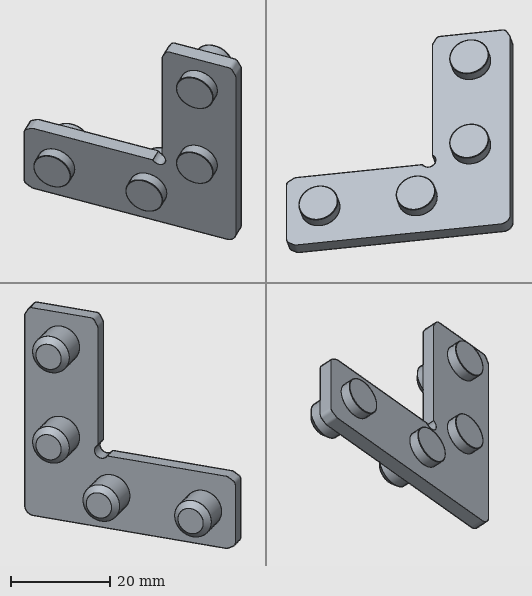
import cadquery as cq
import math

arm_length = 46.0
arm_width = 16.0
plate_thickness = 3.0
outer_corner_radius = 2.0

bevel_end_leg = 1.0
bevel_angle = math.radians(30)
bevel_side_leg = bevel_end_leg / math.tan(bevel_angle)
bevel_edge_radius = 1.0

relief_radius = 1.45
relief_offset = 0.75

pin_diameter = 8.0
pin_end_distance = 7.0
pin_spacing = 20.0
pin_front_height = 2.35
pin_back_height = 6.65
pin_front_chamfer = 0.1
pin_back_chamfer = 1.25

inner_x = arm_length - arm_width


def point_selector(x, z):
    """Select the plate edge along Y at the given outline point."""
    return cq.selectors.NearestToPointSelector((x, plate_thickness / 2, z))


def make_plate():
    lower_end = [
        (bevel_side_leg, arm_width),
        (0, arm_width - bevel_end_leg),
        (0, bevel_end_leg),
        (bevel_side_leg, 0),
    ]
    upper_end = [
        (arm_length, arm_length - bevel_side_leg),
        (arm_length - bevel_end_leg, arm_length),
        (inner_x + bevel_end_leg, arm_length),
        (inner_x, arm_length - bevel_side_leg),
    ]
    outline = lower_end + [(arm_length, 0)] + upper_end + [(inner_x, arm_width)]

    plate = cq.Workplane("XZ").polyline(outline).close().extrude(-plate_thickness)
    plate = plate.edges("|Y").edges(point_selector(arm_length, 0)).fillet(outer_corner_radius)
    for x, z in lower_end + upper_end:
        plate = plate.edges("|Y").edges(point_selector(x, z)).fillet(bevel_edge_radius)
    relief = (
        cq.Workplane("XZ")
        .center(inner_x - relief_offset, arm_width + relief_offset)
        .circle(relief_radius)
        .extrude(-plate_thickness)
    )
    return plate.cut(relief)


def make_pin(x, z):
    pin_length = pin_front_height + plate_thickness + pin_back_height
    return (
        cq.Workplane("XZ", origin=(x, -pin_front_height, z))
        .circle(pin_diameter / 2)
        .extrude(-pin_length)
        .faces("<Y").chamfer(pin_front_chamfer)
        .faces(">Y").chamfer(pin_back_chamfer)
    )


result = make_plate()
for i in range(2):
    from_arm_end = pin_end_distance + i * pin_spacing
    result = result.union(make_pin(from_arm_end, arm_width / 2))
    result = result.union(make_pin(arm_length - arm_width / 2, arm_length - from_arm_end))